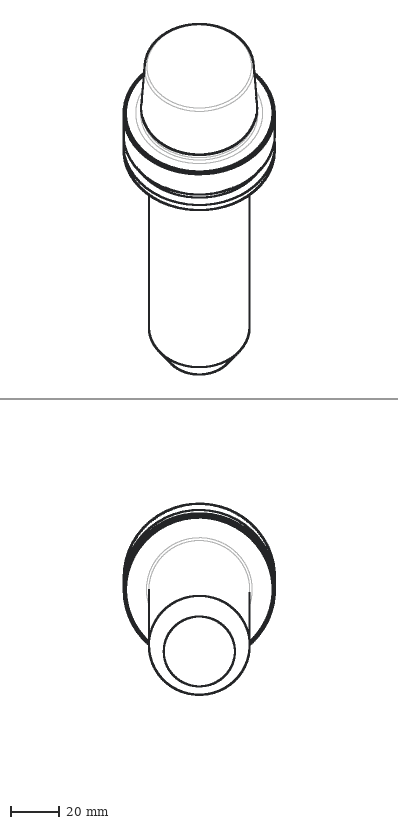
import cadquery as cq


taper_length = 32.0
taper_gauge_radius = 24.0
taper_gauge_height = 6.3
taper_slope = 0.05
taper_base_height = 3.3
taper_top_fillet = 1.0

undercut_radius = 23.7
undercut_height = 2.3
undercut_fillet = 0.7

relief_radius = 26.4
relief_depth = 0.2

flange_radius = 31.5
flange_thickness = 26.0
flange_edge_width = 1.0
flange_edge_height = 0.7
flange_edge_break_width = 0.4
flange_edge_break_height = 0.4
groove_floor_radius = 27.5
groove_center_depth = 18.13
groove_width = 3.6
groove_mouth_width = 7.2
groove_chamfer_depth = 2.5

shank_radius = 21.0
shank_end_depth = 159.9
nose_length = 13.2
nose_end_radius = 14.8
neck_fillet = 1.0


def taper_radius(height):
    """Radius of the taper surface at a height above the contact face."""
    return taper_gauge_radius - taper_slope * (height - taper_gauge_height)


def make_profile():
    """Half section of the part, drawn with radius along X and height along Y."""
    fillet_start = taper_length - taper_top_fillet
    flat_top_radius = taper_radius(fillet_start) - taper_top_fillet
    flange_bottom = -flange_thickness
    flange_face_radius = flange_radius - flange_edge_width
    flange_break_radius = flange_radius - flange_edge_break_width
    groove_edge_radius = flange_radius - groove_chamfer_depth
    groove_top = -groove_center_depth + groove_width / 2
    groove_bottom = -groove_center_depth - groove_width / 2
    mouth_top = -groove_center_depth + groove_mouth_width / 2
    mouth_bottom = -groove_center_depth - groove_mouth_width / 2

    return (
        cq.Workplane("XZ")
        .moveTo(0, taper_length)
        .lineTo(flat_top_radius, taper_length)
        .radiusArc((taper_radius(fillet_start), fillet_start), taper_top_fillet)
        .lineTo(taper_radius(taper_base_height), taper_base_height)
        .lineTo(undercut_radius, undercut_height)
        .lineTo(undercut_radius, undercut_fillet - relief_depth)
        .radiusArc((undercut_radius + undercut_fillet, -relief_depth), -undercut_fillet)
        .lineTo(relief_radius, 0)
        .lineTo(flange_face_radius, 0)
        .lineTo(flange_break_radius, flange_edge_break_height - flange_edge_height)
        .lineTo(flange_radius, -flange_edge_height)
        .lineTo(flange_radius, mouth_top)
        .lineTo(groove_edge_radius, groove_top)
        .lineTo(groove_floor_radius, groove_top)
        .lineTo(groove_floor_radius, groove_bottom)
        .lineTo(groove_edge_radius, groove_bottom)
        .lineTo(flange_radius, mouth_bottom)
        .lineTo(flange_radius, flange_bottom + flange_edge_height)
        .lineTo(flange_break_radius, flange_bottom + flange_edge_height - flange_edge_break_height)
        .lineTo(flange_face_radius, flange_bottom)
        .lineTo(shank_radius + neck_fillet, flange_bottom)
        .radiusArc((shank_radius, flange_bottom - neck_fillet), -neck_fillet)
        .lineTo(shank_radius, nose_length - shank_end_depth)
        .lineTo(nose_end_radius, -shank_end_depth)
        .lineTo(0, -shank_end_depth)
        .close()
    )


result = make_profile().revolve(360, (0, 0, 0), (0, 1, 0))